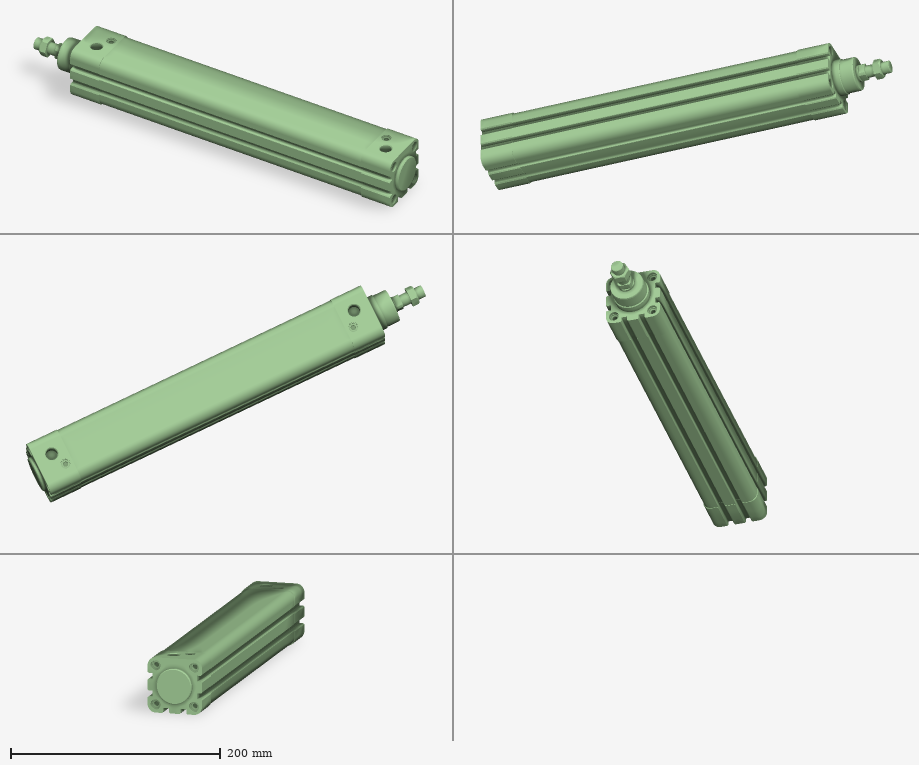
import cadquery as cq
import math

TOTAL_LENGTH = 412.5

COLLAR_FRONT_X = 32.5
COLLAR_STEP_X = 46.0
FRONT_HEAD_X = 53.5
HEAD_LENGTH = 32.0
SPIGOT_LENGTH = 3.5
REAR_FACE_X = TOTAL_LENGTH - SPIGOT_LENGTH
TUBE_START_X = FRONT_HEAD_X + HEAD_LENGTH
TUBE_END_X = REAR_FACE_X - HEAD_LENGTH

HEAD_SIZE = 54.0
HEAD_CORNER_RADIUS = 8.0
TUBE_SIZE = 53.2
TUBE_CORNER_RADIUS = 8.5
SLOT_WIDTH = 5.8
SLOT_DEPTH = 5.0
SLOT_OFFSET = 8.5
HEAD_SLOT_CHAMFER = 1.05
TUBE_SLOT_CHAMFER = 0.5

COLLAR_DIAMETER = 33.0
SPIGOT_DIAMETER = 35.0
SPIGOT_CHAMFER = 1.0
COLLAR_CHAMFER_LENGTH = 1.2
COLLAR_CHAMFER_HEIGHT = 0.5
COLLAR_STEP_CHAMFER = 0.6

SCREW_SPACING = 38.5
SCREW_STEPS = [(10.0, 3.0), (8.2, 3.7), (5.0, 8.2)]

PORT_DIAMETER = 11.5
PORT_CHAMFER = 1.0
PORT_DEPTH = 10.5
PORT_INSET = 17.0
PORT_Y = -6.0
CUSHION_STEPS = [(10.0, 1.0), (8.5, 1.5), (5.0, 3.5)]
CUSHION_INSET = 24.8
CUSHION_Y = 8.2

ROD_DIAMETER = 16.0
ROD_END_X = TUBE_START_X
THREAD_DIAMETER = 12.0
THREAD_LENGTH = 24.0
FLAT_WIDTH = 13.0
FLAT_END_X = 30.5
ROD_CHAMFER = 0.5
NUT_START_X = 8.0
NUT_LENGTH = 7.5
NUT_ACROSS_FLATS = 17.0
NUT_CHAMFER_DIAMETER = 16.5
NUT_CHAMFER_LENGTH = 1.5


def cylinder(diameter, start_x, end_x):
    """Cylinder on the X axis between two stations."""
    return cq.Workplane("YZ", origin=(start_x, 0, 0)).circle(diameter / 2).extrude(end_x - start_x)


def slot_cutter(size, start_x, end_x, mouth_chamfer):
    """One groove open towards -Z, centred on y = 0."""
    half_width = SLOT_WIDTH / 2
    face_z = -size / 2
    floor_z = face_z + SLOT_DEPTH
    mouth_half_width = half_width + mouth_chamfer
    outline = [
        (-mouth_half_width, face_z),
        (-half_width, face_z + mouth_chamfer),
        (-half_width, floor_z),
        (half_width, floor_z),
        (half_width, face_z + mouth_chamfer),
        (mouth_half_width, face_z),
    ]
    return cq.Workplane("YZ", origin=(start_x, 0, 0)).polyline(outline).close().extrude(end_x - start_x)


def slotted_profile(size, corner_radius, start_x, end_x, mouth_chamfer):
    """Rounded square bar with a pair of grooves on the -Z, -Y and +Y sides."""
    bar = cq.Workplane("YZ", origin=(start_x, 0, 0)).rect(size, size).extrude(end_x - start_x)
    bar = bar.edges("|X").fillet(corner_radius)
    slot = slot_cutter(size, start_x, end_x, mouth_chamfer)
    for turn in (-90, 0, 90):
        for side in (-1, 1):
            cutter = slot.translate((0, side * SLOT_OFFSET, 0)).rotate((0, 0, 0), (1, 0, 0), turn)
            bar = bar.cut(cutter)
    return bar


def cut_screw_holes(body, face):
    """Stepped recesses at the four corners of an end face."""
    for diameter, depth in SCREW_STEPS:
        body = (
            body.faces(face).workplane(origin=(0, 0, 0))
            .rect(SCREW_SPACING, SCREW_SPACING, forConstruction=True).vertices().hole(diameter, depth)
        )
    return body


def cut_top_features(body, port_x, cushion_x):
    """Air port and cushioning screw recess on the top of one head."""
    port_mouth = cq.Workplane("XY", origin=(port_x, PORT_Y, HEAD_SIZE / 2))
    port = port_mouth.circle(PORT_DIAMETER / 2).extrude(-PORT_DEPTH)
    countersink = port_mouth.circle(PORT_DIAMETER / 2 + PORT_CHAMFER).extrude(-PORT_CHAMFER, taper=45)
    body = body.cut(port).cut(countersink)
    cushion = cq.Workplane("XY", origin=(cushion_x, CUSHION_Y, HEAD_SIZE / 2))
    for diameter, depth in CUSHION_STEPS:
        body = body.cut(cushion.circle(diameter / 2).extrude(-depth))
    return body


def make_housing():
    """Front head, tube and rear head with the rod collar and the rear spigot."""
    heads = [(FRONT_HEAD_X, TUBE_START_X), (TUBE_END_X, REAR_FACE_X)]
    front, rear = [
        slotted_profile(HEAD_SIZE, HEAD_CORNER_RADIUS, start, end, HEAD_SLOT_CHAMFER) for start, end in heads
    ]
    front = cut_screw_holes(front, "<X")
    front = cut_top_features(front, FRONT_HEAD_X + PORT_INSET, FRONT_HEAD_X + CUSHION_INSET)
    rear = cut_screw_holes(rear, ">X")
    rear = cut_top_features(rear, REAR_FACE_X - PORT_INSET, REAR_FACE_X - CUSHION_INSET)
    tube = slotted_profile(TUBE_SIZE, TUBE_CORNER_RADIUS, TUBE_START_X, TUBE_END_X, TUBE_SLOT_CHAMFER)

    collar = cylinder(COLLAR_DIAMETER, COLLAR_FRONT_X, FRONT_HEAD_X)
    collar = collar.faces("<X").chamfer(COLLAR_CHAMFER_LENGTH, COLLAR_CHAMFER_HEIGHT)
    collar_base = cylinder(SPIGOT_DIAMETER, COLLAR_STEP_X, FRONT_HEAD_X)
    collar_base = collar_base.faces("<X").chamfer(COLLAR_STEP_CHAMFER)
    spigot = cylinder(SPIGOT_DIAMETER, REAR_FACE_X, TOTAL_LENGTH).faces(">X").chamfer(SPIGOT_CHAMFER)
    housing = tube.union(front).union(rear).union(collar).union(collar_base).union(spigot)

    rod_bore = cylinder(ROD_DIAMETER, COLLAR_FRONT_X, ROD_END_X)
    return housing.cut(rod_bore)


def make_nut():
    """Hexagonal lock nut, corners towards +Y and -Y, its front corners chamfered."""
    across_corners = NUT_ACROSS_FLATS / math.cos(math.pi / 6)
    hexagon = cq.Workplane("YZ", origin=(NUT_START_X, 0, 0)).polygon(6, across_corners).extrude(NUT_LENGTH)
    front_cone = (
        cq.Workplane("YZ", origin=(NUT_START_X, 0, 0)).circle(across_corners / 2).extrude(NUT_LENGTH)
        .faces("<X").chamfer(NUT_CHAMFER_LENGTH, (across_corners - NUT_CHAMFER_DIAMETER) / 2)
    )
    return hexagon.intersect(front_cone)


def make_rod():
    """Piston rod with a threaded tip, four wrench flats and the lock nut."""
    tip = cylinder(THREAD_DIAMETER, 0, THREAD_LENGTH).faces("<X").chamfer(ROD_CHAMFER)
    shank = cylinder(ROD_DIAMETER, THREAD_LENGTH, ROD_END_X).faces("<X").chamfer(ROD_CHAMFER)
    flats = cq.Workplane("YZ", origin=(THREAD_LENGTH, 0, 0)).rect(FLAT_WIDTH, FLAT_WIDTH)
    flats = flats.extrude(FLAT_END_X - THREAD_LENGTH)
    waste = cylinder(ROD_DIAMETER, THREAD_LENGTH, FLAT_END_X).cut(flats)
    return shank.cut(waste).union(tip).union(make_nut())


housing = make_housing()
rod = make_rod()
result = cq.Compound.makeCompound([housing.val(), rod.val()])